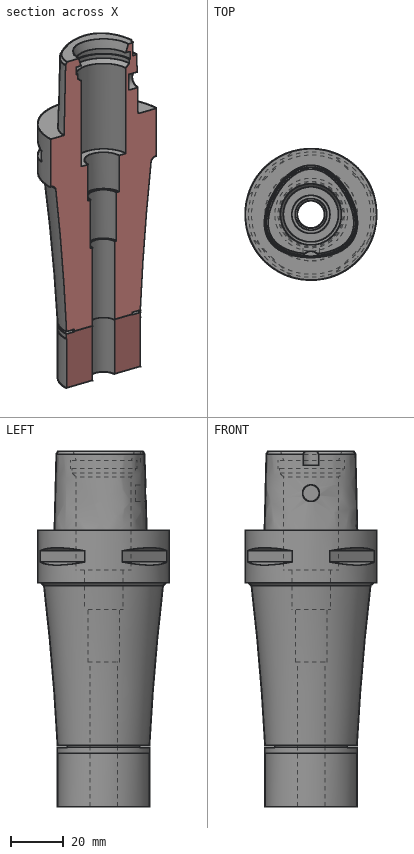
import cadquery as cq
import math


shank_length = 30.0
shank_base_radius = 17.55
lobe_eccentricity = 1.12
shank_taper = 1 / 40
chamfer_height = 1.2
chamfer_inset = 0.75

notch_radius = 3.5
notch_depth = 5.4
notch_bottom_y = -14.0
side_hole_radius = 3.15
side_hole_floor_y = -12.0
side_hole_z = 14.0

flange_radius = 25.0
flange_height = 20.0
slot_count = 4
slot_floor_distance = 22.0
slot_floor_height = 4.2
slot_mouth_height = 6.6

relief_top_radius = 23.8
neck_top_radius = 22.65
relief_height = 1.1
neck_bottom_radius = 17.5
neck_bottom_z = -81.7
neck_sag = 0.5
spigot_radius = 13.8

nut_radius = 17.5
nut_rim_radius = 17.6
nut_rim_height = 2.1
nut_top_z = -82.5
nut_bottom_z = -105.0

mouth_radius = 11.6
bore_radius = 10.45
groove_radius = 12.6
groove_step_radius = 12.1
groove_top_depth = 3.5
groove_step_depth = 6.5
groove_cone_depth = 8.2
groove_bottom_depth = 9.7
bore_depth = 45.0
counterbore_radius = 7.25
counterbore_depth = 60.0
thread_radius = 6.0
thread_depth = 80.0
through_radius = 5.15


def lobed_section(mean_radius, z):
    """Closed wire of the three-lobed polygon, one lobe pointing to +Y."""
    def point(t):
        angle = 2 * math.pi * t + math.pi / 2
        x = mean_radius * math.cos(angle) - lobe_eccentricity * math.sin(2 * angle)
        y = mean_radius * math.sin(angle) - lobe_eccentricity * math.cos(2 * angle)
        return x, y, z

    samples = 24
    points = [cq.Vector(*point(i / samples)) for i in range(samples)]
    return cq.Wire.assembleEdges([cq.Edge.makeSpline(points, periodic=True)])


def make_shank():
    chamfer_z = shank_length - chamfer_height
    chamfer_radius = shank_base_radius - shank_taper * chamfer_z
    base = lobed_section(shank_base_radius, 0)
    shoulder = lobed_section(chamfer_radius, chamfer_z)
    top = lobed_section(chamfer_radius - chamfer_inset, shank_length)
    taper = cq.Solid.makeLoft([base, shoulder], True)
    chamfer = cq.Solid.makeLoft([shoulder, top], True)
    return cq.Workplane(taper).union(cq.Workplane(chamfer))


def make_flange_and_neck():
    neck_top_z = -flange_height - relief_height
    waist_radius = (neck_top_radius + neck_bottom_radius) / 2 - neck_sag
    waist_z = (neck_top_z + neck_bottom_z) / 2
    return (
        cq.Workplane("XZ")
        .moveTo(0, 0)
        .lineTo(flange_radius, 0)
        .lineTo(flange_radius, -flange_height)
        .lineTo(relief_top_radius, -flange_height)
        .lineTo(neck_top_radius, neck_top_z)
        .threePointArc((waist_radius, waist_z), (neck_bottom_radius, neck_bottom_z))
        .lineTo(spigot_radius, neck_bottom_z)
        .lineTo(spigot_radius, nut_top_z)
        .lineTo(0, nut_top_z)
        .close()
        .revolve(360, (0, 0, 0), (0, 1, 0))
    )


def make_bore():
    def level(depth):
        return shank_length - depth

    return (
        cq.Workplane("YZ")
        .moveTo(0, shank_length)
        .lineTo(mouth_radius, shank_length)
        .lineTo(bore_radius, level(groove_top_depth))
        .lineTo(groove_radius, level(groove_top_depth))
        .lineTo(groove_radius, level(groove_step_depth))
        .lineTo(groove_step_radius, level(groove_step_depth))
        .lineTo(groove_step_radius, level(groove_cone_depth))
        .lineTo(bore_radius, level(groove_bottom_depth))
        .lineTo(bore_radius, level(bore_depth))
        .lineTo(counterbore_radius, level(bore_depth))
        .lineTo(counterbore_radius, level(counterbore_depth))
        .lineTo(thread_radius, level(counterbore_depth))
        .lineTo(thread_radius, level(thread_depth))
        .lineTo(through_radius, level(thread_depth))
        .lineTo(through_radius, nut_top_z)
        .lineTo(0, nut_top_z)
        .close()
        .revolve(360, (0, 0, 0), (0, 1, 0))
    )


def make_gripper_slot(angle):
    """V-shaped slot cutter that reaches the flange rim in the given direction."""
    rim_depth = flange_radius - slot_floor_distance
    flare = (slot_mouth_height - slot_floor_height) / 2 / rim_depth
    outer_distance = flange_radius + rim_depth
    floor_half = slot_floor_height / 2
    outer_half = floor_half + flare * (outer_distance - slot_floor_distance)
    return (
        cq.Workplane("XZ")
        .polyline([
            (slot_floor_distance, -floor_half),
            (outer_distance, -outer_half),
            (outer_distance, outer_half),
            (slot_floor_distance, floor_half),
        ])
        .close()
        .extrude(flange_radius, both=True)
        .translate((0, 0, -flange_height / 2))
        .rotate((0, 0, 0), (0, 0, 1), angle)
    )


def make_key_notch():
    return (
        cq.Workplane("XY", origin=(0, notch_bottom_y - notch_radius, shank_length - notch_depth))
        .circle(notch_radius)
        .extrude(notch_depth)
    )


def make_side_hole():
    return (
        cq.Workplane("XZ", origin=(0, side_hole_floor_y, side_hole_z))
        .circle(side_hole_radius)
        .extrude(flange_radius + side_hole_floor_y)
    )


def make_holder():
    holder = make_flange_and_neck().union(make_shank())
    holder = holder.cut(make_bore()).cut(make_key_notch()).cut(make_side_hole())
    for i in range(slot_count):
        holder = holder.cut(make_gripper_slot((i + 0.5) * 360 / slot_count))
    return holder


def make_nut():
    rim_z = nut_top_z - nut_rim_height
    rim = (
        cq.Workplane("XY", origin=(0, 0, rim_z))
        .circle(nut_rim_radius)
        .circle(through_radius)
        .extrude(nut_rim_height)
    )
    body = (
        cq.Workplane("XY", origin=(0, 0, nut_bottom_z))
        .circle(nut_radius)
        .circle(through_radius)
        .extrude(rim_z - nut_bottom_z)
    )
    return body.union(rim)


holder = make_holder()
nut = make_nut()

result = cq.Compound.makeCompound([holder.solids().val(), nut.solids().val()])